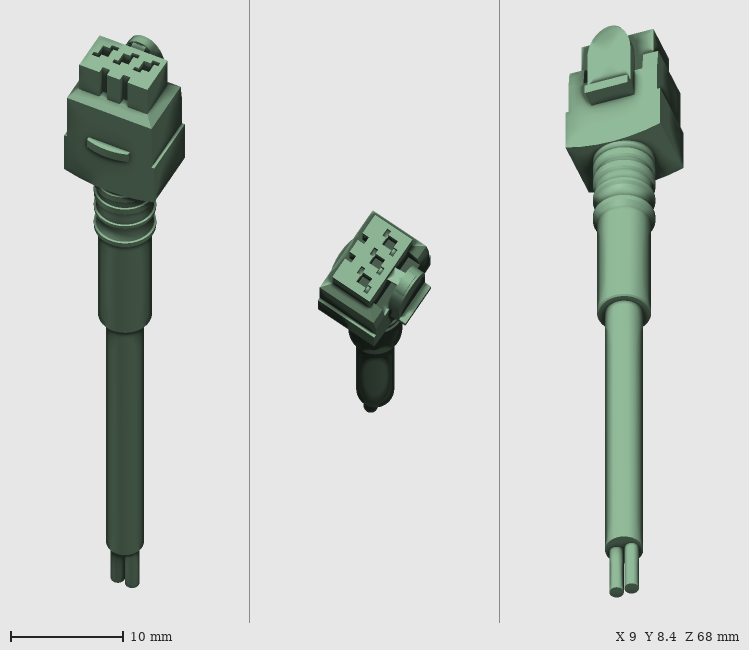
import cadquery as cq


JACKET_BOTTOM = 5.1
SLEEVE_BOTTOM = 34.8
PLUG_TOP = 68.0

FLANGE_ARC_BOTTOM = 53.85
FLANGE_BOTTOM = 54.6
FLANGE_TOP = 59.0
WING_TOP = 60.0
BACK_TAPER_START = 62.1
BLOCK_TOP = 64.05
NOSE_BOTTOM = 64.8

WIRE_DIAMETER = 1.3
WIRE_PITCH = 1.4
JACKET_DIAMETER = 3.4
SLEEVE_DIAMETER = 4.8
SLEEVE_CHAMFER = 0.15

RIB_DIAMETER = 5.6
NECK_DIAMETER = 5.2
RIB_BEVEL_HEIGHT = 0.3
UPPER_RIBS = ((53.3, 54.3), (52.1, 53.05), (50.5, 51.5), (48.7, 49.3))
END_RIB_BOTTOM = 46.6
END_RIB_TOP = 47.05
END_CONE_BOTTOM = 46.0

FLANGE_WIDTH = 9.0
BLOCK_WIDTH = 8.4
BODY_FRONT = -3.1
BODY_BACK = 2.9
BLOCK_TOP_BACK = 2.65

NOSE_WIDTH = 6.8
NOSE_FRONT = -2.3
NOSE_BACK = 1.7
KEY_GROOVE_WIDTH = 0.75
KEY_GROOVE_DEPTH = 0.7
KEY_GROOVE_PITCH = 2.05
CONTACT_PITCH = 2.05
CONTACT_Y = 0.2
CONTACT_SIZE = 1.0
CONTACT_TAB_WIDTH = 0.75
CONTACT_TAB_HEIGHT = 0.4
CONTACT_TAB_SHIFT = 0.55
CONTACT_DEPTH = 2.05
CONTACT_TAB_DEPTH = 0.7

WING_WIDTH = 4.1
WING_FRONT = -3.8
WING_FRONT_END = -3.5
WING_BACK = 4.6
LEVER_BACK = 3.95
LEVER_FRONT = 2.8
ARCH_START = BLOCK_TOP
LEVER_CREST = 67.3
NOTCH_WIDTH = 5.6
PAD_WIDTH = 2.3
PAD_BACK = 3.75
PAD_FRONT = 2.85
PAD_BOTTOM = 66.9
PAD_TOP = 67.6
TONGUE_WIDTH = 1.3
TONGUE_TIP_TOP = 66.65
TONGUE_THICKNESS = 0.4

OVERLAP = 0.15


def box(width, front, back, bottom, top):
    """Block centred on X between the given Y and Z limits."""
    size = (width, back - front, top - bottom)
    return cq.Workplane("XY").box(*size, centered=(True, False, False)).translate((0, front, bottom))


def rod(diameter, bottom, top, x=0):
    return cq.Workplane("XY", origin=(x, 0, bottom)).circle(diameter / 2).extrude(top - bottom)


def plate_loft(width_low, y_low, z_low, width_high, y_high, z_high):
    """Loft between two rectangles centred on X; each y pair is (front, back)."""
    low_middle = sum(y_low) / 2
    high_middle = sum(y_high) / 2
    return (
        cq.Workplane("XY", origin=(0, low_middle, z_low))
        .rect(width_low, y_low[1] - y_low[0])
        .workplane(offset=z_high - z_low)
        .center(0, high_middle - low_middle)
        .rect(width_high, y_high[1] - y_high[0])
        .loft(ruled=True)
    )


def make_cable():
    cable = rod(JACKET_DIAMETER, JACKET_BOTTOM, SLEEVE_BOTTOM + OVERLAP)
    sleeve = rod(SLEEVE_DIAMETER, SLEEVE_BOTTOM, END_RIB_TOP)
    cable = cable.union(sleeve.faces("<Z").chamfer(SLEEVE_CHAMFER))
    for side in (-1, 1):
        cable = cable.union(rod(WIRE_DIAMETER, 0, JACKET_BOTTOM + OVERLAP, side * WIRE_PITCH / 2))
    return cable


def bevelled_rib(bottom, top):
    """Rib with a conical underside growing out of the neck."""
    bevel_top = bottom + RIB_BEVEL_HEIGHT
    return (
        cq.Workplane("XZ")
        .moveTo(0, bottom)
        .lineTo(NECK_DIAMETER / 2, bottom)
        .lineTo(RIB_DIAMETER / 2, bevel_top)
        .lineTo(RIB_DIAMETER / 2, top)
        .lineTo(0, top)
        .close()
        .revolve(360, (0, 0, 0), (0, 1, 0))
    )


def make_strain_relief():
    """Necked core with bevelled ribs, a waist and a coned rib at the lower end."""
    waist_top = min(bottom for bottom, top in UPPER_RIBS)
    waist_middle = (waist_top + END_RIB_TOP) / 2
    core = (
        cq.Workplane("XZ")
        .moveTo(0, END_CONE_BOTTOM)
        .lineTo(SLEEVE_DIAMETER / 2, END_CONE_BOTTOM)
        .lineTo(RIB_DIAMETER / 2, END_RIB_BOTTOM)
        .lineTo(RIB_DIAMETER / 2, END_RIB_TOP)
        .lineTo(NECK_DIAMETER / 2, END_RIB_TOP)
        .threePointArc((SLEEVE_DIAMETER / 2, waist_middle), (NECK_DIAMETER / 2, waist_top))
        .lineTo(NECK_DIAMETER / 2, FLANGE_BOTTOM)
        .lineTo(0, FLANGE_BOTTOM)
        .close()
        .revolve(360, (0, 0, 0), (0, 1, 0))
    )
    for bottom, top in UPPER_RIBS:
        core = core.union(bevelled_rib(bottom, top))
    return core


def make_flange():
    """Wide collar whose underside is an arc across its width."""
    half_width = FLANGE_WIDTH / 2
    return (
        cq.Workplane("XZ", origin=(0, BODY_BACK, 0))
        .moveTo(-half_width, FLANGE_TOP)
        .lineTo(-half_width, FLANGE_BOTTOM)
        .threePointArc((0, FLANGE_ARC_BOTTOM), (half_width, FLANGE_BOTTOM))
        .lineTo(half_width, FLANGE_TOP)
        .close()
        .extrude(BODY_BACK - BODY_FRONT)
    )


def make_block():
    """Straight block with a tapered back, a sloped shoulder and a notch for the latch."""
    full = (BODY_FRONT, BODY_BACK)
    tapered = (BODY_FRONT, BLOCK_TOP_BACK)
    nose = (NOSE_FRONT, NOSE_BACK)
    block = box(BLOCK_WIDTH, BODY_FRONT, BODY_BACK, FLANGE_TOP, BACK_TAPER_START)
    taper = plate_loft(BLOCK_WIDTH, full, BACK_TAPER_START, BLOCK_WIDTH, tapered, BLOCK_TOP)
    shoulder = plate_loft(BLOCK_WIDTH, tapered, BLOCK_TOP, NOSE_WIDTH, nose, NOSE_BOTTOM)
    notch = box(NOTCH_WIDTH, NOSE_BACK, BODY_BACK, BACK_TAPER_START, NOSE_BOTTOM)
    return block.union(taper).union(shoulder).cut(notch)


def contact_cavity(x):
    """Square cavity with a shallow tab up and to the right and one down and to the left."""
    tab_offset = (CONTACT_SIZE + CONTACT_TAB_HEIGHT) / 2
    mouth = cq.Workplane("XY", origin=(x, CONTACT_Y, PLUG_TOP))
    cavity = mouth.rect(CONTACT_SIZE, CONTACT_SIZE).extrude(-CONTACT_DEPTH)
    for side in (-1, 1):
        tab = mouth.center(side * CONTACT_TAB_SHIFT, side * tab_offset)
        cavity = cavity.union(tab.rect(CONTACT_TAB_WIDTH, CONTACT_TAB_HEIGHT).extrude(-CONTACT_TAB_DEPTH))
    return cavity


def make_nose():
    nose = box(NOSE_WIDTH, NOSE_FRONT, NOSE_BACK, NOSE_BOTTOM, PLUG_TOP)
    groove_back = NOSE_FRONT + KEY_GROOVE_DEPTH
    groove = box(KEY_GROOVE_WIDTH, NOSE_FRONT, groove_back, NOSE_BOTTOM, PLUG_TOP)
    for side in (-1, 1):
        nose = nose.cut(groove.translate((side * KEY_GROOVE_PITCH / 2, 0, 0)))
    for column in (-1, 0, 1):
        nose = nose.cut(contact_cavity(column * CONTACT_PITCH))
    return nose


def make_wings():
    """Square ledge at the back and a bowed ledge at the front, just above the flange."""
    half_width = WING_WIDTH / 2
    back = box(WING_WIDTH, BODY_BACK - OVERLAP, WING_BACK, FLANGE_TOP, WING_TOP)
    front = (
        cq.Workplane("XY", origin=(0, 0, FLANGE_TOP))
        .moveTo(-half_width, BODY_FRONT + OVERLAP)
        .lineTo(-half_width, WING_FRONT_END)
        .threePointArc((0, WING_FRONT), (half_width, WING_FRONT_END))
        .lineTo(half_width, BODY_FRONT + OVERLAP)
        .close()
        .extrude(WING_TOP - FLANGE_TOP)
    )
    return back.union(front)


def make_latch():
    """Round-topped lever with a pad on its crest and a sloped tongue reaching the nose."""
    half_width = WING_WIDTH / 2
    lever = (
        cq.Workplane("XZ", origin=(0, LEVER_BACK, 0))
        .moveTo(-half_width, FLANGE_TOP)
        .lineTo(-half_width, ARCH_START)
        .ellipseArc(half_width, LEVER_CREST - ARCH_START, 0, 180, sense=-1, startAtCurrent=True)
        .lineTo(half_width, FLANGE_TOP)
        .close()
        .extrude(LEVER_BACK - LEVER_FRONT)
    )
    half_pad = PAD_WIDTH / 2
    pad = (
        cq.Workplane("XZ", origin=(0, PAD_BACK, 0))
        .moveTo(-half_pad, PAD_BOTTOM)
        .threePointArc((0, PAD_TOP), (half_pad, PAD_BOTTOM))
        .close()
        .extrude(PAD_BACK - PAD_FRONT)
    )
    tip = NOSE_BACK - OVERLAP
    tongue = (
        cq.Workplane("YZ", origin=(-TONGUE_WIDTH / 2, 0, 0))
        .moveTo(PAD_FRONT, LEVER_CREST)
        .lineTo(tip, TONGUE_TIP_TOP)
        .lineTo(tip, TONGUE_TIP_TOP - TONGUE_THICKNESS)
        .lineTo(PAD_FRONT, LEVER_CREST - TONGUE_THICKNESS)
        .close()
        .extrude(TONGUE_WIDTH)
    )
    return lever.union(pad).union(tongue)


result = make_cable()
for feature in (
    make_strain_relief(),
    make_flange(),
    make_block(),
    make_nose(),
    make_wings(),
    make_latch(),
):
    result = result.union(feature)